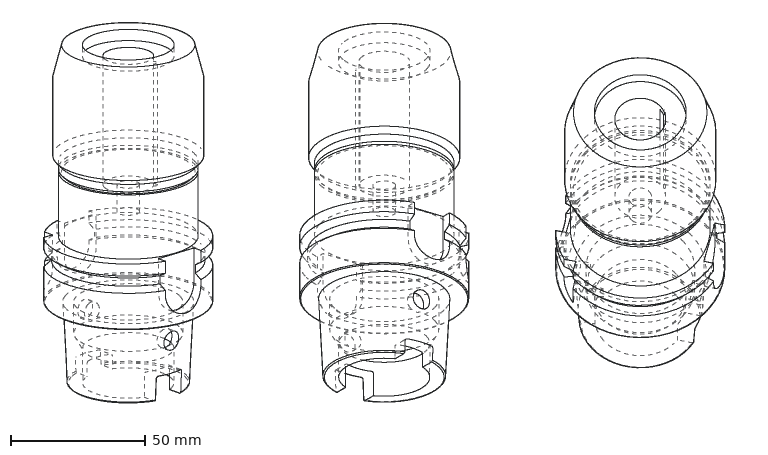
import cadquery as cq
import math

total_height = 133.6

shank_height = 32.0
shank_top_radius = 24.5
shank_taper = 0.05
shank_end_chamfer = 0.5

flange_radius = 31.5
flange_top = 58.1
flange_chamfer = 0.4
groove_radius = 28.6
groove_mid_height = 50.0
groove_floor_width = 3.2
groove_mouth_width = 6.8

neck_radius = 26.0
neck_top = 83.5
relief_radius = 24.8
relief_top = 84.7
collar_top = 87.6
head_radius = 28.2
head_bottom = 89.9
head_cylinder_top = 120.8
nose_radius = 24.8

recess_radius = 17.1
recess_depth = 4.4
bore_radius = 9.5
bore_depth = 50.8
pilot_radius = 4.3
pilot_depth = 10.7

wall_groove_radius = 1.3
wall_groove_start = 2.5
wall_groove_angle = 45.0

slot_round_height = 44.8
key_floor = 26.5
left_key_width = 16.0
right_key_width = 17.9
corner_slot_width = 16.0
corner_slot_floor = 19.9
corner_slot_side = -20.0

notch_width = 12.7
left_notch_height = 5.9
right_notch_height = 9.9
notch_corner_radius = 0.8

cavity_mouth_radius = 17.0
cavity_chamber_radius = 20.3
cavity_shoulder_height = 13.9
cavity_shoulder_angle = 30.0
cavity_top = shank_height

cross_hole_radius = 3.7
cross_hole_height = 23.0


def turned_body():
    shank_end_radius = shank_top_radius - shank_taper * shank_height
    half_floor = groove_floor_width / 2
    half_mouth = groove_mouth_width / 2
    profile = [
        (0, 0),
        (shank_end_radius - shank_end_chamfer, 0),
        (shank_end_radius + shank_taper * shank_end_chamfer, shank_end_chamfer),
        (shank_top_radius, shank_height),
        (flange_radius - flange_chamfer, shank_height),
        (flange_radius, shank_height + flange_chamfer),
        (flange_radius, groove_mid_height - half_mouth),
        (groove_radius, groove_mid_height - half_floor),
        (groove_radius, groove_mid_height + half_floor),
        (flange_radius, groove_mid_height + half_mouth),
        (flange_radius, flange_top),
        (neck_radius, flange_top),
        (neck_radius, neck_top),
        (relief_radius, neck_top),
        (neck_radius, relief_top),
        (neck_radius, collar_top),
        (head_radius, head_bottom),
        (head_radius, head_cylinder_top),
        (nose_radius, total_height),
        (0, total_height),
    ]
    return cq.Workplane("XZ").polyline(profile).close().revolve(360, (0, 0), (0, 1))


def stepped_bore():
    bore_mouth = total_height - recess_depth
    bore_floor = bore_mouth - bore_depth
    recess = cq.Workplane("XY").workplane(offset=bore_mouth).circle(recess_radius).extrude(recess_depth)
    bore = cq.Workplane("XY").workplane(offset=bore_floor).circle(bore_radius).extrude(bore_depth)
    pilot = (
        cq.Workplane("XY").workplane(offset=bore_floor - pilot_depth)
        .circle(pilot_radius).extrude(pilot_depth)
    )
    angle = math.radians(wall_groove_angle)
    wall_groove = (
        cq.Workplane("XY").workplane(offset=bore_floor)
        .center(bore_radius * math.cos(angle), bore_radius * math.sin(angle))
        .circle(wall_groove_radius).extrude(bore_depth - wall_groove_start)
    )
    return recess.union(bore).union(pilot).union(wall_groove)


def shank_cavity():
    step = cavity_chamber_radius - cavity_mouth_radius
    shoulder_rise = step / math.tan(math.radians(cavity_shoulder_angle))
    profile = [
        (0, 0),
        (cavity_mouth_radius, 0),
        (cavity_mouth_radius, cavity_shoulder_height),
        (cavity_chamber_radius, cavity_shoulder_height + shoulder_rise),
        (cavity_chamber_radius, cavity_top),
        (0, cavity_top),
    ]
    return cq.Workplane("XZ").polyline(profile).close().revolve(360, (0, 0), (0, 1))


def flange_slot(side, floor, width, center_y):
    """Slot cut along X into the flange from one side (-1 or +1), down to a flat floor."""
    depth = flange_radius - floor
    height = flange_top - slot_round_height
    round_end = cq.Workplane("YZ").center(center_y, slot_round_height).circle(width / 2).extrude(depth)
    straight = (
        cq.Workplane("YZ").center(center_y, slot_round_height + height / 2)
        .rect(width, height).extrude(depth)
    )
    start = floor if side > 0 else -flange_radius
    return round_end.union(straight).translate((start, 0, 0))


def drive_notch(side, height):
    """Notch in the shank end, from the axis out through one side (-1 or +1)."""
    notch = (
        cq.Workplane("XY").box(shank_top_radius, notch_width, height, centered=(False, True, False))
        .edges("|X and >Z").fillet(notch_corner_radius)
    )
    start = 0 if side > 0 else -shank_top_radius
    return notch.translate((start, 0, 0))


def cross_hole():
    return (
        cq.Workplane("YZ").center(0, cross_hole_height)
        .circle(cross_hole_radius).extrude(shank_top_radius, both=True)
    )


corner_slot_center = corner_slot_side - corner_slot_width / 2

result = (
    turned_body()
    .cut(stepped_bore())
    .cut(shank_cavity())
    .cut(flange_slot(-1, key_floor, left_key_width, 0))
    .cut(flange_slot(1, key_floor, right_key_width, 0))
    .cut(flange_slot(-1, corner_slot_floor, corner_slot_width, corner_slot_center))
    .cut(drive_notch(-1, left_notch_height))
    .cut(drive_notch(1, right_notch_height))
    .cut(cross_hole())
)